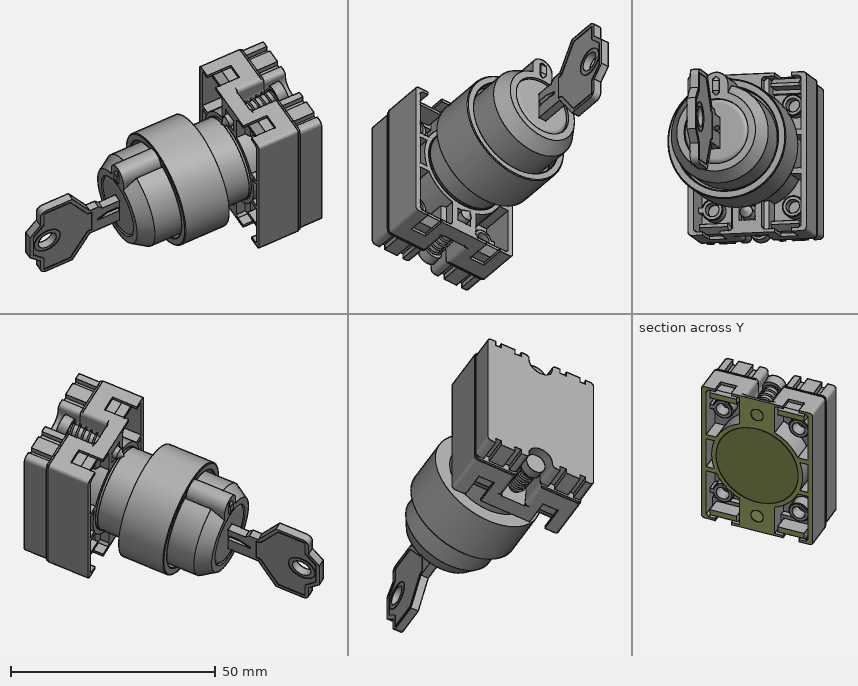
import cadquery as cq


width = 29.8
height = 39.5

rim_start = 6.0
frame_start = 6.5
pocket_floor = 8.9
frame_front = 17.55
collar_front = 18.1
bezel_start = 25.9
bezel_front = 38.25
rotor_cone_start = 45.2
rotor_front = 48.9

block_height = 37.8
block_corner = 1.1
frame_corner = 0.9
rim_inset = 0.15
wall_slot_depth = 1.5
wall_slots = [(5.5, 7.25), (11.1, 12.65)]

channel_radius = 3.25
channel_lip = 1.1
channel_floor = 12.9
lip_end = 13.4

pocket_outer_x = 13.55
pocket_half_height = 18.95
pocket_corner = 0.7
web_half_width = 3.6
pocket_inner_x = 4.7
web_step = 2.4
web_taper = 0.9
hub_radius = 12.2
rib_z = 4.8
rib_thickness = 1.4
boss_x = 10.15
boss_z = 12.6
boss_radius = 2.7
boss_hole_radius = 1.7
boss_front = 12.05
boss_edge = 0.2
boss_tab_height = 1.25
shelf_bottom = 15.75
shelf_front = 10.35
clip_half_width = 3.55
clip_x = 9.0
clip_bottom = 16.7
clip_nose_top = 17.55
clip_ramp_start = 13.4
clip_front = 15.4
notch_start = 10.9
notch_half_width = 2.15
window_half_width = 2.0
window_bottom = 12.7
window_top = 16.5
window_depth = 2.2

barrel_radius = 10.9
collar_radius = 11.0
bezel_radius = 14.9
bezel_edge = 0.2
socket_radius = 12.9
socket_depth = 2.2

rotor_radius = 12.2
rotor_face_radius = 9.9
lug_half_width = 2.95
lug_top = 14.65
lock_radius = 8.1
lock_edge = 1.2
lock_start = bezel_front
mark_width = 1.6
mark_bottom = 8.95
mark_top = 13.55
mark_corner = 0.7
mark_slope = 1.0
mark_rise = 0.5

key_thickness = 2.1
blade_start = 41.45
blade_top = 3.25
key_half_neck = 4.4
blade_step = 53.65
head_start = 57.2
head_flare_end = 62.1
head_shoulder = 71.05
head_tip = 74.0
head_half_height = 11.8
shoulder_half_height = 6.9
tip_half_height = 3.85
head_corner = 1.8
key_hole_station = 69.1
key_hole_radius = 2.5
key_hole_rim_radius = 3.6
panel_start = 55.6
panel_margin = 1.0
panel_depth = 0.15
groove_depth = 0.8
groove_end_depth = 0.04
groove_top = 0.9
groove_floor_top = -0.15
groove_bottom = -0.6
groove_full_end = 51.8
groove_end = 55.0

screw_tilt = 9.0
screw_tip_station = 19.8
screw_tip_z = 14.3
screw_length = 17.6
screw_head_radius = 2.6
screw_head_length = 2.6
screw_radius = 1.55
screw_point_length = 1.5
spring_wire_radius = 0.2
spring_radius = 1.9
spring_turns = 5

SIDES = (-1, 1)
CORNERS = [(sx, sz) for sx in SIDES for sz in SIDES]


def at(station):
    """Plane across the axis; sketch X and Y are world X and Z, and it extrudes forward."""
    return cq.Workplane("XZ", origin=(0, -station, 0))


def slab(x0, x1, z0, z1, start, end):
    """Box between two X values, two Z values and two stations."""
    sketch = at(start).center((x0 + x1) / 2, (z0 + z1) / 2)
    return sketch.rect(abs(x1 - x0), abs(z1 - z0)).extrude(end - start)


def disc(radius, start, end):
    return at(start).circle(radius).extrude(end - start)


def side_profile(points, center_x, half_width):
    """Prism along X from (station, Z) points, centred on center_x."""
    profile = cq.Workplane("YZ", origin=(center_x, 0, 0)).polyline([(-s, z) for s, z in points])
    return profile.close().extrude(half_width, both=True)


def onto_screw_axis(shape, side):
    """Move a shape drawn upright, screw tip at its origin and -Y outward, onto the upper or lower screw."""
    forward = shape.rotate((0, 0, 0), (1, 0, 0), screw_tilt - 90)
    placed = forward.translate((0, -screw_tip_station, screw_tip_z))
    return placed if side > 0 else placed.rotate((0, 0, 0), (0, 1, 0), 180)


def screw_channel(side, top):
    """Tilted round-bottomed channel, open outward, with rounded lips where it meets the top at Z = top."""
    floor = screw_tip_station - channel_floor
    length = 2 * screw_length
    round_bottom = cq.Workplane("XY").circle(channel_radius).extrude(length)
    opening = cq.Workplane("XY").center(0, -height / 2).rect(2 * channel_radius, height).extrude(length)
    channel = onto_screw_axis(round_bottom.union(opening).translate((0, 0, floor)), side)
    lip_half = channel_radius + channel_lip
    lips = (
        at(0)
        .moveTo(-lip_half, top)
        .radiusArc((-channel_radius, top - channel_lip), channel_lip)
        .lineTo(channel_radius, top - channel_lip)
        .radiusArc((lip_half, top), channel_lip)
        .close()
        .extrude(lip_end)
    )
    if side < 0:
        lips = lips.rotate((0, 0, 0), (0, 1, 0), 180)
    return channel.union(lips)


def make_contact_block():
    half_height = block_height / 2
    block = at(0).rect(width, block_height).extrude(rim_start).edges("|Y").fillet(block_corner)
    for sx, sz in CORNERS:
        for inner, outer in wall_slots:
            top, bottom = sz * half_height, sz * (half_height - wall_slot_depth)
            block = block.cut(slab(sx * inner, sx * outer, top, bottom, 0, rim_start))
    for side in SIDES:
        block = block.cut(screw_channel(side, half_height))
    return block


def frame_pocket(side):
    """Front pocket beside the centre web, leaving the hub and two ribs standing."""
    step = frame_front - web_step
    taper_end = step - web_taper
    outline = [
        (pocket_outer_x, frame_front),
        (web_half_width, frame_front),
        (web_half_width, step),
        (pocket_inner_x, taper_end),
        (pocket_inner_x, pocket_floor),
        (pocket_outer_x, pocket_floor),
    ]
    pocket = cq.Workplane("XY").polyline([(side * x, -s) for x, s in outline]).close()
    pocket = pocket.extrude(pocket_half_height, both=True)
    pocket = pocket.faces("<X or >X").edges("|Y").chamfer(pocket_corner)
    pocket = pocket.cut(disc(hub_radius, pocket_floor, frame_front))
    for sz in SIDES:
        low = sz * rib_z - rib_thickness / 2
        pocket = pocket.cut(slab(0, side * width, low, low + rib_thickness, pocket_floor, frame_front))
    return pocket


def terminal_boss(sx, sz):
    """Hollow round boss with a tab joining it to the side wall."""
    sketch = at(pocket_floor).center(sx * boss_x, sz * boss_z)
    boss = sketch.circle(boss_radius).extrude(boss_front - pocket_floor)
    boss = boss.faces("<Y").edges().chamfer(boss_edge)
    low = sz * boss_z - boss_tab_height / 2
    tab = slab(sx * boss_x, sx * pocket_outer_x, low, low + boss_tab_height, pocket_floor, boss_front)
    hole = at(pocket_floor).center(sx * boss_x, sz * boss_z).circle(boss_hole_radius).extrude(frame_front)
    return boss.union(tab).cut(hole)


def snap_clip(sx, sz):
    """Shelf across the pocket end with a ramped snap nose in front of it."""
    shelf = slab(
        sx * pocket_inner_x, sx * pocket_outer_x, sz * shelf_bottom, sz * pocket_half_height,
        pocket_floor, shelf_front,
    )
    nose = [
        (pocket_floor, pocket_half_height),
        (clip_ramp_start, pocket_half_height),
        (clip_front, clip_nose_top),
        (clip_front, clip_bottom),
        (pocket_floor, clip_bottom),
    ]
    return shelf.union(side_profile([(s, sz * z) for s, z in nose], sx * clip_x, clip_half_width))


def make_frame():
    frame = at(frame_start).rect(width, height).extrude(frame_front - frame_start)
    frame = frame.edges("|Y").fillet(frame_corner)
    rim = at(rim_start).rect(width - 2 * rim_inset, height - 2 * rim_inset).extrude(frame_start - rim_start)
    frame = frame.union(rim.edges("|Y").fillet(frame_corner))
    for side in SIDES:
        frame = frame.cut(frame_pocket(side))
    for sx, sz in CORNERS:
        frame = frame.union(terminal_boss(sx, sz)).union(snap_clip(sx, sz))
        notch_x = sx * clip_x
        frame = frame.cut(
            slab(
                notch_x - notch_half_width, notch_x + notch_half_width,
                sz * pocket_half_height, sz * height / 2, notch_start, frame_front,
            )
        )
    frame = frame.cut(disc(barrel_radius, pocket_floor, frame_front))
    for side in SIDES:
        frame = frame.cut(screw_channel(side, height / 2))
        window = slab(
            -window_half_width, window_half_width, side * window_bottom, side * window_top,
            frame_front - window_depth, frame_front,
        )
        screw_hole = cq.Workplane("XY").circle(screw_radius).extrude(screw_length)
        frame = frame.cut(window).cut(onto_screw_axis(screw_hole, side))
    return frame


def make_operator():
    barrel = disc(barrel_radius, pocket_floor, bezel_start)
    collar = disc(collar_radius, frame_front, collar_front)
    bezel = disc(bezel_radius, bezel_start, bezel_front).faces("<Y").edges().chamfer(bezel_edge)
    socket = disc(socket_radius, bezel_front - socket_depth, bezel_front)
    socket_rim = cq.selectors.RadiusNthSelector(0)
    bezel = bezel.cut(socket).faces("<Y").edges(socket_rim).chamfer(bezel_edge)
    return barrel.union(collar).union(bezel)


def pointer_mark():
    """Raised upright bar with cut corners, its two ends sloping down to the lug face."""
    bar = slab(-mark_width / 2, mark_width / 2, mark_bottom, mark_top, rotor_front, rotor_front + mark_rise)
    bar = bar.edges("|Y").chamfer(mark_corner)
    slopes = [
        (rotor_front, mark_bottom),
        (rotor_front + mark_rise, mark_bottom + mark_slope),
        (rotor_front + mark_rise, mark_top - mark_slope),
        (rotor_front, mark_top),
    ]
    return bar.intersect(side_profile(slopes, 0, mark_width))


def make_rotor():
    rotor = disc(rotor_radius, bezel_front - socket_depth, rotor_cone_start)
    cone = at(rotor_cone_start).circle(rotor_radius).workplane(offset=rotor_front - rotor_cone_start)
    rotor = rotor.union(cone.circle(rotor_face_radius).loft(ruled=True))
    arc_z = lug_top - lug_half_width
    lug = (
        at(bezel_front)
        .moveTo(-lug_half_width, 0)
        .lineTo(-lug_half_width, arc_z)
        .threePointArc((0, lug_top), (lug_half_width, arc_z))
        .lineTo(lug_half_width, 0)
        .close()
        .extrude(rotor_front - bezel_front)
    )
    rotor = rotor.union(lug).cut(disc(lock_radius, lock_start, rotor_front))
    return rotor.union(pointer_mark())


def key_head(start):
    """Symmetric head of the key, beginning with the neck at the given station."""
    upper = [
        (start, key_half_neck),
        (head_start, key_half_neck),
        (head_flare_end, head_half_height),
        (head_shoulder, head_half_height),
        (head_shoulder, shoulder_half_height),
        (head_tip, tip_half_height),
    ]
    lower = [(s, -z) for s, z in reversed(upper)]
    return upper + lower


def blade_groove(side):
    """Warding groove with a sloping upper flank, running out of the blade face toward the head."""
    face = side * key_thickness / 2

    def section(depth):
        top = groove_floor_top + (groove_top - groove_floor_top) * depth / groove_depth
        floor = face - side * depth
        return [(face, top), (floor, groove_floor_top), (floor, groove_bottom), (face, groove_bottom)]

    full = at(rotor_front).polyline(section(groove_depth)).close().extrude(groove_full_end - rotor_front)
    run_out = at(groove_full_end).polyline(section(groove_depth)).close()
    run_out = run_out.workplane(offset=groove_end - groove_full_end)
    run_out = run_out.polyline(section(groove_end_depth)).close().loft(ruled=True)
    return full.union(run_out)


def make_key():
    half = key_thickness / 2
    step_end = blade_step + key_half_neck - blade_top
    blade = [
        (blade_start, -key_half_neck),
        (blade_start, blade_top),
        (blade_step, blade_top),
        (step_end, key_half_neck),
        (head_start, key_half_neck),
        (head_start, -key_half_neck),
    ]
    head = side_profile(key_head(step_end), 0, half)
    for side in SIDES:
        corner = cq.selectors.NearestToPointSelector((0, -head_shoulder, side * head_half_height))
        head = head.edges("|X").edges(corner).fillet(head_corner)
    key = side_profile(blade, 0, half).union(head)

    panel = cq.Workplane("YZ").polyline([(-s, z) for s, z in key_head(panel_start)]).close()
    panel = panel.offset2D(-panel_margin).extrude(panel_depth)
    hole_sketch = cq.Workplane("YZ").center(-key_hole_station, 0)
    panel = panel.cut(hole_sketch.circle(key_hole_rim_radius).extrude(panel_depth))
    key = key.cut(panel.translate((half - panel_depth, 0, 0))).cut(panel.translate((-half, 0, 0)))
    ring_hole = cq.Workplane("YZ").center(-key_hole_station, 0).circle(key_hole_radius)
    key = key.cut(ring_hole.extrude(half, both=True))

    for side in SIDES:
        key = key.cut(blade_groove(side))
    return key


def make_lock_cylinder():
    lock = disc(lock_radius, lock_start, rotor_front).faces("<Y").edges().fillet(lock_edge)
    half = key_thickness / 2
    return lock.cut(slab(-half, half, -key_half_neck, blade_top, blade_start, rotor_front))


def make_screw(side):
    shank_length = screw_length - screw_head_length
    outline = [
        (0, 0),
        (screw_radius, screw_point_length),
        (screw_radius, shank_length),
        (screw_head_radius, shank_length),
        (screw_head_radius, screw_length),
        (0, screw_length),
    ]
    screw = cq.Workplane("XZ").polyline(outline).close().revolve(360, (0, 0, 0), (0, 1, 0))
    return onto_screw_axis(screw, side)


def make_spring(side):
    start = screw_tip_station - channel_floor + spring_wire_radius
    end = screw_length - screw_head_length - spring_wire_radius
    rise = end - start
    helix = cq.Wire.makeHelix(rise / spring_turns, rise, spring_radius)
    wire = cq.Workplane("XZ").center(spring_radius, 0).circle(spring_wire_radius)
    spring = wire.sweep(cq.Workplane(helix), isFrenet=True)
    return onto_screw_axis(spring.translate((0, 0, start)), side)


contact_block = make_contact_block()
frame = make_frame()
operator = make_operator()
rotor = make_rotor()
lock_cylinder = make_lock_cylinder()
key = make_key()
screws = [make_screw(side) for side in SIDES]
springs = [make_spring(side) for side in SIDES]

bodies = [contact_block, frame, operator, rotor, lock_cylinder, key, *screws, *springs]
result = cq.Compound.makeCompound([body.solids().val() for body in bodies])